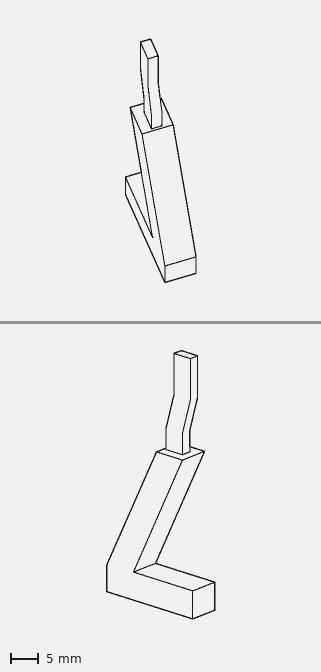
import cadquery as cq

lever_width = 6.0
foot_length = 20.84
foot_height = 5.42
heel_height = 5.1
inner_corner_x = 14.33
arm_top_z = 29.99
arm_top_start_x = 2.48
arm_top_length = 6.3

blade_thickness = 2.0
blade_width = 4.0
blade_base_x = 4.3
blade_jog = 1.93
base_length = 4.0
jog_length = 7.0
tip_length = 8.0


def extrude_about_mid_plane(points, thickness):
    """Solid of the given XZ outline, centred on the plane Y = 0."""
    return cq.Workplane("XZ").polyline(points).close().extrude(thickness / 2, both=True)


def make_lever():
    outline = [
        (0, 0),
        (foot_length, 0),
        (foot_length, heel_height),
        (arm_top_start_x + arm_top_length, arm_top_z),
        (arm_top_start_x, arm_top_z),
        (inner_corner_x, foot_height),
        (0, foot_height),
    ]
    return extrude_about_mid_plane(outline, lever_width)


def make_blade():
    jog_start_z = arm_top_z + base_length
    jog_end_z = jog_start_z + jog_length
    tip_z = jog_end_z + tip_length
    tip_x = blade_base_x - blade_jog
    outline = [
        (blade_base_x, arm_top_z),
        (blade_base_x + blade_width, arm_top_z),
        (blade_base_x + blade_width, jog_start_z),
        (tip_x + blade_width, jog_end_z),
        (tip_x + blade_width, tip_z),
        (tip_x, tip_z),
        (tip_x, jog_end_z),
        (blade_base_x, jog_start_z),
    ]
    return extrude_about_mid_plane(outline, blade_thickness)


lever = make_lever()
blade = make_blade()

result = cq.Compound.makeCompound([lever.val(), blade.val()])